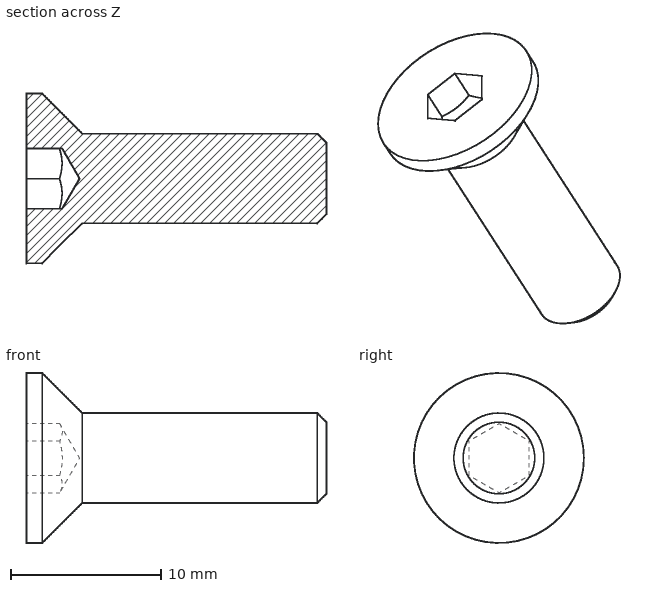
import cadquery as cq
import math

screw_length = 20.0
shank_diameter = 6.0
head_diameter = 11.34
head_rim_length = 1.05
tip_chamfer = 0.613

socket_across_flats = 4.0
socket_depth = 2.2
socket_cone_angle = 120.0

shank_radius = shank_diameter / 2
head_radius = head_diameter / 2
head_length = head_rim_length + head_radius - shank_radius
socket_across_corners = socket_across_flats / math.cos(math.radians(30))


def make_body():
    """Head, countersink, shank and chamfered tip as one revolved profile."""
    profile = (
        cq.Workplane("XY")
        .moveTo(0, 0)
        .lineTo(0, head_radius)
        .lineTo(head_rim_length, head_radius)
        .lineTo(head_length, shank_radius)
        .lineTo(screw_length - tip_chamfer, shank_radius)
        .lineTo(screw_length, shank_radius - tip_chamfer)
        .lineTo(screw_length, 0)
        .close()
    )
    return profile.revolve(360, (0, 0, 0), (1, 0, 0))


def make_socket():
    """Hexagonal prism, corners on the Z axis, trimmed to a conical bottom."""
    cone_radius = socket_across_corners / 2
    cone_length = cone_radius / math.tan(math.radians(socket_cone_angle / 2))
    hexagon = (
        cq.Workplane("YZ")
        .transformed(rotate=(0, 0, 90))
        .polygon(6, socket_across_corners)
        .extrude(socket_depth + cone_length)
    )
    pointed_envelope = (
        cq.Workplane("XY")
        .moveTo(0, 0)
        .lineTo(0, cone_radius)
        .lineTo(socket_depth, cone_radius)
        .lineTo(socket_depth + cone_length, 0)
        .close()
        .revolve(360, (0, 0, 0), (1, 0, 0))
    )
    return hexagon.intersect(pointed_envelope)


result = make_body().cut(make_socket())